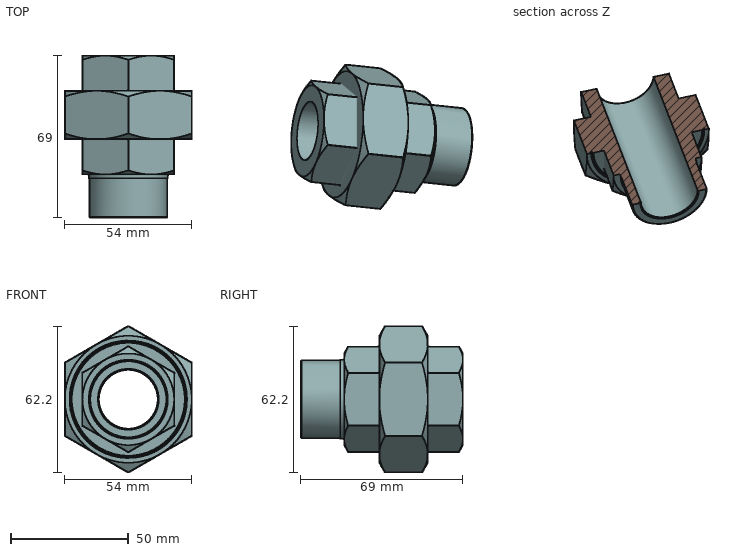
import cadquery as cq
import math


total_length = 69.0
small_hex_length = 15.0
nut_length = 20.55
collar_length = 1.7
nut_front = total_length - small_hex_length - nut_length
nut_back = nut_front + nut_length
pipe_length = nut_front - small_hex_length

nut_flats = 54.0
small_hex_flats = 39.0
hex_bevel_angle = 30.0
corner_trim = 0.1
root_round = 0.5

margin = 0.1

pipe_diameter = 33.25
collar_diameter = 33.7
pipe_end_chamfer = 0.5
bore_diameter = 25.0
bore_chamfer = 0.5

nut_mouth_diameter = 50.0
body_diameter = 49.4
body_face_diameter = 48.0
body_rim_chamfer = 0.35
body_rim_step = 0.15
gap_depth = 0.7


def corner_radius(flats):
    """Distance from the axis to a sharp hex corner."""
    return flats / math.sqrt(3)


def cylinder(diameter, start, length):
    """Solid cylinder on the Y axis, from Y = start towards +Y."""
    return cq.Workplane("XZ", origin=(0, start, 0)).circle(diameter / 2).extrude(-length)


def revolve_around_y(outline):
    """Solid of revolution about the Y axis from (radius, y) points."""
    return cq.Workplane("XY").polyline(outline).close().revolve(360, (0, 0, 0), (0, 1, 0))


def hex_prism(flats, start, length):
    """Hexagonal prism along Y with flats facing -X and +X."""
    return (
        cq.Workplane("XZ", origin=(0, start, 0))
        .transformed(rotate=(0, 0, 90))
        .polygon(6, 2 * corner_radius(flats))
        .extrude(-length)
    )


def bevel_envelope(flats, start, length, bevel_front, bevel_back):
    """Round body that trims the hex corners, with cones starting at the flats' inscribed circle."""
    inner = flats / 2
    outer = corner_radius(flats) - corner_trim
    drop = (outer - inner) * math.tan(math.radians(hex_bevel_angle))
    end = start + length
    outline = [(0, start)]
    outline += [(inner, start), (outer, start + drop)] if bevel_front else [(outer, start)]
    outline += [(outer, end - drop), (inner, end)] if bevel_back else [(outer, end)]
    outline.append((0, end))
    return revolve_around_y(outline)


def wrench_hex(flats, start, length, bevel_front, bevel_back):
    """Hexagonal prism with its corners bevelled at the chosen ends."""
    envelope = bevel_envelope(flats, start, length, bevel_front, bevel_back)
    return hex_prism(flats, start, length).intersect(envelope)


def nut_gap():
    """Ring cut into the nut face that leaves the stepped, chamfered rim of the body."""
    body = body_diameter / 2
    rim = body - body_rim_chamfer
    face = body_face_diameter / 2
    mouth = nut_mouth_diameter / 2
    rim_level = nut_front + body_rim_step
    bottom = nut_front + gap_depth
    return revolve_around_y(
        [
            (face, nut_front),
            (face, rim_level),
            (rim, rim_level),
            (body, rim_level + body_rim_chamfer),
            (body, bottom),
            (mouth, bottom),
            (mouth, nut_front),
        ]
    )


def edges_at(part, y, reach):
    """Edges lying in the plane at the given Y, no farther than reach from the axis in X and Z."""
    low = (-reach - margin, y - margin, -reach - margin)
    high = (reach + margin, y + margin, reach + margin)
    return part.edges(cq.selectors.BoxSelector(low, high, boundingbox=True))


result = wrench_hex(nut_flats, nut_front, nut_length, True, True)
result = result.union(wrench_hex(small_hex_flats, pipe_length, small_hex_length, True, False))
result = result.union(wrench_hex(small_hex_flats, nut_back, small_hex_length, False, True))
for nut_face in (nut_front, nut_back):
    result = edges_at(result, nut_face, corner_radius(small_hex_flats)).fillet(root_round)
result = result.cut(nut_gap())

pipe = cylinder(pipe_diameter, 0, pipe_length).faces("<Y").chamfer(pipe_end_chamfer)
collar = cylinder(collar_diameter, pipe_length - collar_length, collar_length)
result = result.union(pipe).union(collar)
result = edges_at(result, pipe_length, collar_diameter / 2).fillet(root_round)

result = result.cut(cylinder(bore_diameter, 0, total_length))
result = edges_at(result, 0, bore_diameter / 2).chamfer(bore_chamfer)